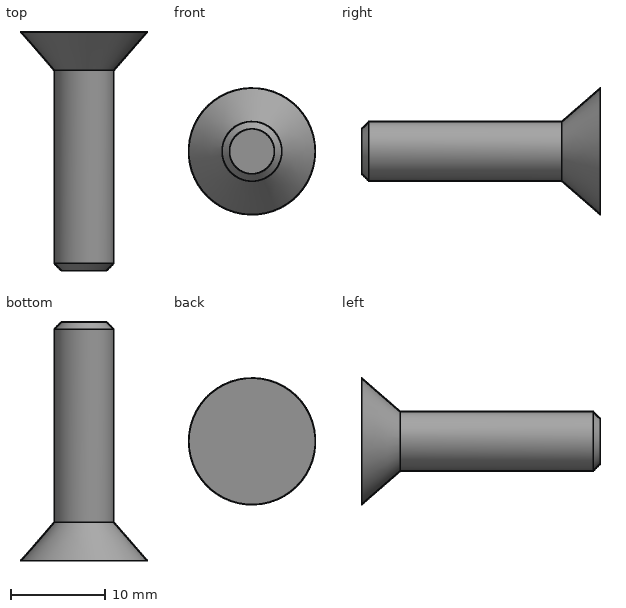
import cadquery as cq
import math

overall_length = 25.4
head_diameter = 13.5
shank_diameter = 6.35
countersink_angle = 82.0
tip_chamfer = 0.8

head_radius = head_diameter / 2
shank_radius = shank_diameter / 2
half_angle = math.radians(countersink_angle / 2)
head_height = (head_radius - shank_radius) / math.tan(half_angle)

profile = (
    cq.Workplane("XY")
    .moveTo(0, 0)
    .lineTo(shank_radius - tip_chamfer, 0)
    .lineTo(shank_radius, tip_chamfer)
    .lineTo(shank_radius, overall_length - head_height)
    .lineTo(head_radius, overall_length)
    .lineTo(0, overall_length)
    .close()
)

result = profile.revolve(360, (0, 0, 0), (0, 1, 0))